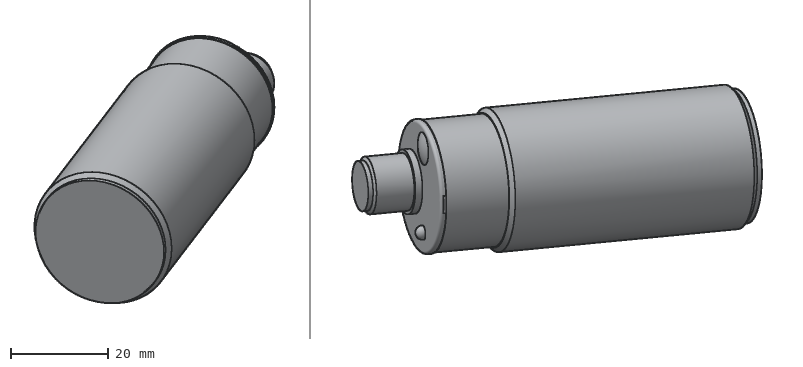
import cadquery as cq

total_length = 81.2
body_diameter = 30.0
chamfer = 1.0
front_lip_length = 1.05
shoulder_y = 55.0
neck_diameter = 27.6

cap_diameter = body_diameter - 2 * chamfer
cap_start_y = 68.6
cap_end_y = 69.9
cap_edge_radius = 0.65
notch_width = 3.7
notch_length = 0.65

connector_x = 4.4
connector_diameter = 12.0
connector_tip_diameter = 10.5
connector_tip_length = 1.05
connector_taper_length = 0.5
collar_diameter = 13.5
collar_end_y = 71.45

detail_x = -2.8
detail_z = 9.0
lamp_diameter = 3.0
lamp_height = 1.6
dome_diameter = 6.8
dome_height = 0.8


def disc(diameter, start_y, end_y, x=0.0, z=0.0):
    """Cylinder along Y from start_y to end_y."""
    return cq.Workplane("XZ", origin=(x, start_y, z)).circle(diameter / 2).extrude(start_y - end_y)


def make_body():
    """Main barrel with a front lip, two chamfers and the rear neck."""
    body_radius = body_diameter / 2
    lip_radius = body_radius - chamfer
    neck_radius = neck_diameter / 2
    profile = [
        (0, 0),
        (lip_radius, 0),
        (lip_radius, front_lip_length),
        (body_radius, front_lip_length + chamfer),
        (body_radius, shoulder_y - chamfer),
        (lip_radius, shoulder_y),
        (neck_radius, shoulder_y),
        (neck_radius, cap_start_y),
        (0, cap_start_y),
    ]
    return cq.Workplane("XY").polyline(profile).close().revolve(360, (0, 0, 0), (0, 1, 0))


def make_cap():
    """Rear cap with a rounded rim and a shallow flat-bottomed notch in its skirt on the -X side."""
    cap = disc(cap_diameter, cap_start_y, cap_end_y).faces(">Y").fillet(cap_edge_radius)
    notch_depth = (cap_diameter - neck_diameter) / 2
    notch = cq.Workplane("XY").box(
        notch_depth, notch_length, notch_width, centered=(False, False, True)
    ).translate((-cap_diameter / 2, cap_start_y, 0))
    return cap.cut(notch)


def make_connector():
    """Connector collar, plug and narrower tip."""
    tip_start_y = total_length - connector_tip_length
    collar = disc(collar_diameter, cap_start_y, collar_end_y, connector_x)
    plug = disc(connector_diameter, cap_start_y, tip_start_y, connector_x)
    taper_width = (connector_diameter - connector_tip_diameter) / 2
    plug = plug.faces(">Y").chamfer(connector_taper_length, taper_width)
    tip = disc(connector_tip_diameter, cap_start_y, total_length, connector_x)
    return collar.union(plug).union(tip)


def make_lamp():
    """Round-ended indicator lamp below the connector."""
    lamp_radius = lamp_diameter / 2
    round_start_y = cap_end_y + lamp_height - lamp_radius
    stem = disc(lamp_diameter, cap_start_y, round_start_y, detail_x, -detail_z)
    ball = cq.Workplane("XY").sphere(lamp_radius).translate((detail_x, round_start_y, -detail_z))
    return stem.union(ball)


def make_dome():
    """Low spherical dome above the connector."""
    base_radius = dome_diameter / 2
    sphere_radius = (base_radius**2 + dome_height**2) / (2 * dome_height)
    center_y = cap_end_y + dome_height - sphere_radius
    ball = cq.Workplane("XY").sphere(sphere_radius).translate((detail_x, center_y, detail_z))
    return ball.intersect(disc(dome_diameter, cap_start_y, cap_end_y + dome_height, detail_x, detail_z))


result = make_body().union(make_cap()).union(make_connector()).union(make_lamp()).union(make_dome())